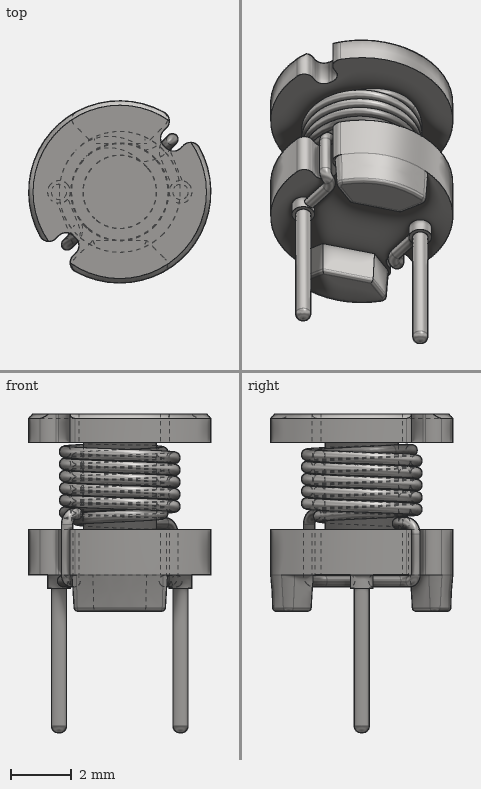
import cadquery as cq
import math


flange_dia = 6.0
flange_radius = flange_dia / 2
core_dia = 2.4
base_bottom = 1.2
base_top = 2.7
flange_bottom = 5.55
flange_top = 6.5
rim_chamfer = 0.15

notch_angles = (45, 225)
notch_half_width = 0.4
notch_center_radius = 2.45
notch_mouth_radius = 0.33
notch_corner_round = 0.35

foot_notch_gap = 0.5
foot_inner_y = 1.6
foot_draft = 3.5
foot_outer_round = 0.27
foot_bottom_round = 0.13

pin_x = 2.0
pin_dia = 0.5
pin_length = 4.0
pin_tip_round = 0.23
collar_dia = 0.75
collar_bottom = 0.76

wire_dia = 0.38
pitch = 0.4
inner_layer_radius = 1.4
outer_layer_radius = 1.8
inner_end_z = 2.9
outer_end_z = 3.21
crossover_start = 45
crossover_end = 135
inner_full_turns = 6
outer_full_turns = 5

lead_radius = notch_center_radius
inner_exit_bend = 0.56
outer_exit_bend = 0.32
drop_bend = 0.36
lower_bend = 0.2
pin_turn_bend = 0.35
lead_bottom_z = base_bottom - lower_bend


def polar(radius, angle, z=0.0):
    """Point at a radius and an angle in degrees."""
    a = math.radians(angle)
    return cq.Vector(radius * math.cos(a), radius * math.sin(a), z)


def cylinder(dia, bottom, top, x=0.0):
    return cq.Workplane(origin=(x, 0, bottom)).circle(dia / 2).extrude(top - bottom)


def notch_cutter(angle):
    """Slot with rounded bottom corners and a flared mouth, through the full height."""
    round_y = notch_half_width + notch_mouth_radius
    round_reach = flange_radius - notch_mouth_radius
    round_x = math.sqrt(round_reach**2 - round_y**2)
    rim_scale = flange_radius / round_reach
    rim_x = round_x * rim_scale
    rim_y = round_y * rim_scale
    to_wall = math.pi / 2
    to_rim = -math.atan2(round_y, round_x)
    middle = (to_rim - to_wall) / 2
    mid_x = round_x + notch_mouth_radius * math.cos(middle)
    mid_y = round_y + notch_mouth_radius * math.sin(middle)
    outside_x = flange_radius + notch_half_width
    floor_half_width = notch_half_width - notch_corner_round
    bottom_x = notch_center_radius - notch_corner_round
    return (
        cq.Workplane()
        .moveTo(round_x, -notch_half_width)
        .lineTo(notch_center_radius, -notch_half_width)
        .radiusArc((bottom_x, -floor_half_width), notch_corner_round)
        .lineTo(bottom_x, floor_half_width)
        .radiusArc((notch_center_radius, notch_half_width), notch_corner_round)
        .lineTo(round_x, notch_half_width)
        .threePointArc((mid_x, mid_y), (rim_x, rim_y))
        .lineTo(outside_x, rim_y)
        .lineTo(outside_x, -rim_y)
        .lineTo(rim_x, -rim_y)
        .threePointArc((mid_x, -mid_y), (round_x, -notch_half_width))
        .close()
        .extrude(flange_top)
        .rotate((0, 0, 0), (0, 0, 1), angle)
    )


def drum_core():
    base = cylinder(flange_dia, base_bottom, base_top)
    flange = cylinder(flange_dia, flange_bottom, flange_top).faces(">Z").chamfer(rim_chamfer)
    drum = base.union(flange).union(cylinder(core_dia, base_top, flange_bottom))
    for angle in notch_angles:
        drum = drum.cut(notch_cutter(angle))
    return drum


def foot():
    """Drafted foot on the -Y side; its ends run parallel to the nearby wire notches."""
    inner_x = foot_inner_y - foot_notch_gap * math.sqrt(2)
    rim_angle = 45 - math.degrees(math.asin(foot_notch_gap / flange_radius))
    rim = polar(flange_radius, -90 - rim_angle)
    outline = (
        cq.Sketch()
        .segment((-inner_x, -foot_inner_y), (rim.x, rim.y))
        .arc((rim.x, rim.y), (0, -flange_radius), (-rim.x, rim.y))
        .segment((-rim.x, rim.y), (inner_x, -foot_inner_y))
        .close()
        .assemble()
        .vertices("<X or >X")
        .fillet(foot_outer_round)
    )
    top = cq.Workplane(origin=(0, 0, base_bottom)).placeSketch(outline)
    block = top.extrude(-base_bottom, taper=foot_draft)
    return block.faces("<Z").edges().fillet(foot_bottom_round)


def pin(x):
    post = cylinder(pin_dia, -pin_length, base_bottom, x).faces("<Z").edges().fillet(pin_tip_round)
    return post.union(cylinder(collar_dia, collar_bottom, base_bottom, x))


def sweep_wire(path, frenet=False):
    """Round wire along a path."""
    start = cq.Plane(origin=path.positionAt(0), normal=path.tangentAt(0))
    return cq.Workplane(start).circle(wire_dia / 2).sweep(cq.Workplane(obj=path), isFrenet=frenet)


def exit_angle(layer_radius, bend):
    """Angle taken by the bend that turns the wire from its layer to the radial direction."""
    return math.degrees(math.asin(bend / (layer_radius + bend)))


def layer(radius, bottom_angle, bottom_z, sweep_angle, lefthand):
    """Center line of one helical layer, from its lower end up."""
    helix = cq.Wire.makeHelix(pitch, pitch * sweep_angle / 360, radius, lefthand=lefthand)
    helix = helix.rotate(cq.Vector(), cq.Vector(0, 0, 1), bottom_angle).translate(cq.Vector(0, 0, bottom_z))
    return helix.Edges()[0]


def layer_direction(radius, angle, climb):
    """Counterclockwise direction along a layer that climbs (+1) or falls (-1)."""
    slope = pitch / (2 * math.pi * radius)
    return polar(1, angle + 90, climb * slope)


def bend_edge(start, end, center):
    """Arc of less than half a turn around a center."""
    radius = (start - center).Length
    middle = center + ((start + end) * 0.5 - center).normalized() * radius
    return cq.Edge.makeThreePointArc(start, middle, end)


def lead(notch_angle, layer_radius, exit_bend, climb, z):
    """Wire end: out of its layer, down the notch, under the base and into the pin collar.

    climb is +1 when the layer climbs counterclockwise from this end, else -1.
    """
    up = cq.Vector(0, 0, 1)
    layer_angle = notch_angle + climb * exit_angle(layer_radius, exit_bend)
    layer_end = polar(layer_radius, layer_angle, z)
    drop_start = polar(lead_radius - drop_bend, notch_angle, z)
    drop_center = drop_start - up * drop_bend
    upright_top = polar(lead_radius, notch_angle, z - drop_bend)
    upright_bottom = polar(lead_radius, notch_angle, base_bottom)
    lower_end = polar(lead_radius - lower_bend, notch_angle, lead_bottom_z)
    lower_center = polar(lead_radius - lower_bend, notch_angle, base_bottom)

    turn_center = lower_end + polar(pin_turn_bend, notch_angle - 90)
    pin_center = cq.Vector(math.copysign(pin_x, lower_end.x), 0, lead_bottom_z)
    to_pin = pin_center - turn_center
    to_pin_angle = math.degrees(math.atan2(to_pin.y, to_pin.x))
    tangent_angle = math.degrees(math.acos(pin_turn_bend / to_pin.Length))
    turn_end = turn_center + polar(pin_turn_bend, to_pin_angle - tangent_angle)

    leaving_layer = layer_direction(layer_radius, layer_angle, climb) * -climb
    exit_edge = cq.Edge.makeSpline([layer_end, drop_start], tangents=[leaving_layer, polar(1, notch_angle)])
    return [
        exit_edge,
        bend_edge(drop_start, upright_top, drop_center),
        cq.Edge.makeLine(upright_top, upright_bottom),
        bend_edge(upright_bottom, lower_end, lower_center),
        bend_edge(lower_end, turn_end, turn_center),
        cq.Edge.makeLine(turn_end, pin_center),
    ]


def winding():
    """Sections of the wire that join end to end, from pin to pin."""
    inner_angle = notch_angles[0] + exit_angle(inner_layer_radius, inner_exit_bend)
    outer_angle = notch_angles[1] - exit_angle(outer_layer_radius, outer_exit_bend)
    inner_sweep = 360 * inner_full_turns + crossover_start - inner_angle
    outer_sweep = 360 * outer_full_turns + outer_angle - crossover_end
    inner = layer(inner_layer_radius, inner_angle, inner_end_z, inner_sweep, False)
    outer = layer(outer_layer_radius, outer_angle, outer_end_z, outer_sweep, True)

    start = polar(inner_layer_radius, crossover_start, inner_end_z + pitch * inner_sweep / 360)
    end = polar(outer_layer_radius, crossover_end, outer_end_z + pitch * outer_sweep / 360)
    middle_radius = (inner_layer_radius + outer_layer_radius) / 2
    middle = polar(middle_radius, (crossover_start + crossover_end) / 2, (start.z + end.z) / 2)
    tangents = [
        layer_direction(inner_layer_radius, crossover_start, 1),
        layer_direction(outer_layer_radius, crossover_end, -1),
    ]
    crossover = cq.Edge.makeSpline([start, middle, end], tangents=tangents)

    inner_lead = lead(notch_angles[0], inner_layer_radius, inner_exit_bend, 1, inner_end_z)
    outer_lead = lead(notch_angles[1], outer_layer_radius, outer_exit_bend, -1, outer_end_z)
    parts = [sweep_wire(inner, frenet=True), sweep_wire(outer, frenet=True)]
    for edges in ([crossover], inner_lead, outer_lead):
        parts.append(sweep_wire(cq.Wire.assembleEdges(edges)))
    return parts


body = drum_core()
feet = foot()
body = body.union(feet).union(feet.mirror("XZ"))
for side in (-1, 1):
    body = body.union(pin(side * pin_x))

for wire_part in winding():
    body = body.union(wire_part)

result = body.solids()